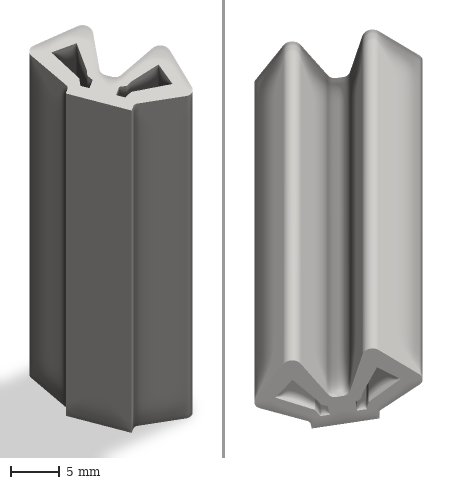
import cadquery as cq

LENGTH = 57.65
BASE_HALF_WIDTH = 3.6
VALLEY_HEIGHT = 3.45

BASE_TOP = (BASE_HALF_WIDTH, 0.85)
WING_TIP = (9.35, 4.0)
WING_PEAK = (3.9, 9.65)
VALLEY_CORNER = (0.9, VALLEY_HEIGHT)

STEP_RADIUS = 0.6
TIP_RADIUS = 0.8
PEAK_RADIUS = 1.1
VALLEY_RADIUS = 0.85

WEB_HALF_WIDTH = 1.45
POCKET_FLOOR = 1.4
POCKET_TOP = 2.5
HOLLOW_CORNERS = [
    (WEB_HALF_WIDTH, POCKET_FLOOR),
    (2.4, POCKET_FLOOR),
    (2.8, 2.25),
    (6.6, 4.5),
    (4.45, 6.4),
    (2.35, 3.4),
    (2.15, 2.8),
    (WEB_HALF_WIDTH, POCKET_TOP),
]


def round_edge(body, corner, radius):
    """Round the lengthwise edge that starts at the given profile corner."""
    selector = cq.selectors.NearestToPointSelector((*corner, LENGTH / 2))
    return body.edges("|Z").edges(selector).fillet(radius)


def make_right_half():
    outline = [
        (0, 0),
        (BASE_HALF_WIDTH, 0),
        BASE_TOP,
        WING_TIP,
        WING_PEAK,
        VALLEY_CORNER,
        (0, VALLEY_HEIGHT),
    ]
    half = cq.Workplane("XY").polyline(outline).close().extrude(LENGTH)
    half = round_edge(half, BASE_TOP, STEP_RADIUS)
    half = round_edge(half, WING_TIP, TIP_RADIUS)
    half = round_edge(half, WING_PEAK, PEAK_RADIUS)
    half = round_edge(half, VALLEY_CORNER, VALLEY_RADIUS)
    hollow = cq.Workplane("XY").polyline(HOLLOW_CORNERS).close().extrude(LENGTH)
    return half.cut(hollow)


right_half = make_right_half()
result = right_half.union(right_half.mirror("YZ")).clean()